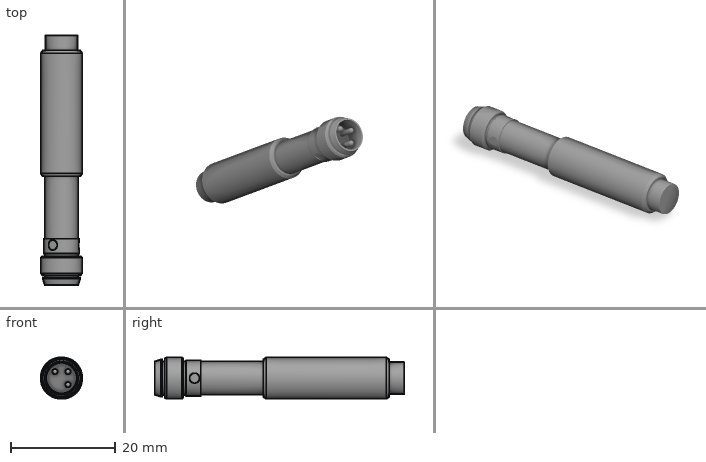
import cadquery as cq
import math

LENGTH = 47.9
MOUTH_Y = -LENGTH / 2

TIP_DIA = 6.4
COLLAR_DIA = 7.2
STEM_DIA = 6.5
NECK_DIA = 6.45
SLEEVE_DIA = 8.0
RING_DIA = SLEEVE_DIA
BAND_DIA = 6.9
CAP_DIA = 6.2

CONE_END = 1.2
COLLAR_END = 1.5
RING_START = 1.9
RING_END = 5.5
BAND_START = 6.0
BAND_END = 8.85
SLEEVE_START = 20.85
SLEEVE_END = 45.0

RING_CHAMFER = 0.3
RING_FRONT_CHAMFER_LENGTH = 0.4
BAND_CHAMFER = 0.1
SLEEVE_CHAMFER_LENGTH = 0.57
SLEEVE_CHAMFER_DIA = 7.2
CAP_CHAMFER_LENGTH = 0.2
CAP_CHAMFER_DEPTH = 0.05

SOCKET_DIA = 5.85
SOCKET_DEPTH = 4.3
PIN_DIA = 1.0
PIN_OFFSET = 1.25
PIN_SETBACK = 0.65
PIN_POSITIONS = [(-PIN_OFFSET, PIN_OFFSET), (PIN_OFFSET, PIN_OFFSET), (PIN_OFFSET, -PIN_OFFSET)]

WINDOW_DIA = 1.9
WINDOW_ANGLES = (0, 120, 240)
WINDOW_FROM_MOUTH = 7.65
WINDOW_Y = MOUTH_Y + WINDOW_FROM_MOUTH


def make_outer_shape():
    """Solid of revolution about Y through every outer step."""
    profile = [
        (0, 0),
        (TIP_DIA / 2, 0),
        (COLLAR_DIA / 2, CONE_END),
        (COLLAR_DIA / 2, COLLAR_END),
        (STEM_DIA / 2, COLLAR_END),
        (STEM_DIA / 2, RING_START),
        (RING_DIA / 2 - RING_CHAMFER, RING_START),
        (RING_DIA / 2, RING_START + RING_FRONT_CHAMFER_LENGTH),
        (RING_DIA / 2, RING_END - RING_CHAMFER),
        (RING_DIA / 2 - RING_CHAMFER, RING_END),
        (STEM_DIA / 2, RING_END),
        (STEM_DIA / 2, BAND_START),
        (BAND_DIA / 2 - BAND_CHAMFER, BAND_START),
        (BAND_DIA / 2, BAND_START + BAND_CHAMFER),
        (BAND_DIA / 2, BAND_END),
        (NECK_DIA / 2, BAND_END),
        (NECK_DIA / 2, SLEEVE_START),
        (SLEEVE_CHAMFER_DIA / 2, SLEEVE_START),
        (SLEEVE_DIA / 2, SLEEVE_START + SLEEVE_CHAMFER_LENGTH),
        (SLEEVE_DIA / 2, SLEEVE_END - SLEEVE_CHAMFER_LENGTH),
        (SLEEVE_CHAMFER_DIA / 2, SLEEVE_END),
        (CAP_DIA / 2, SLEEVE_END),
        (CAP_DIA / 2, LENGTH - CAP_CHAMFER_LENGTH),
        (CAP_DIA / 2 - CAP_CHAMFER_DEPTH, LENGTH),
        (0, LENGTH),
    ]
    shape = cq.Workplane("XY").polyline(profile).close().revolve(360, (0, 0), (0, 1))
    return shape.translate((0, MOUTH_Y, 0))


def make_socket():
    """Round connector cavity, open at the mouth."""
    mouth = cq.Workplane("XZ", origin=(0, MOUTH_Y, 0))
    return mouth.circle(SOCKET_DIA / 2).extrude(-SOCKET_DEPTH)


def make_window_cutter(angle):
    """Radial cutter whose flat floor just meets the band surface at the window's sides."""
    floor_radius = math.sqrt((BAND_DIA / 2) ** 2 - (WINDOW_DIA / 2) ** 2)
    floor = cq.Workplane("YZ", origin=(floor_radius, WINDOW_Y, 0))
    cutter = floor.circle(WINDOW_DIA / 2).extrude(BAND_DIA / 2)
    return cutter.rotate((0, 0, 0), (0, 1, 0), angle)


def make_housing():
    housing = make_outer_shape().cut(make_socket())
    for angle in WINDOW_ANGLES:
        housing = housing.cut(make_window_cutter(angle))
    return housing


def make_pin(x, z):
    """Contact pin standing on the socket floor, with a hemispherical tip."""
    radius = PIN_DIA / 2
    length = SOCKET_DEPTH - PIN_SETBACK
    pin = (
        cq.Workplane("XY")
        .lineTo(radius, 0)
        .lineTo(radius, radius - length)
        .radiusArc((0, -length), radius)
        .close()
        .revolve(360, (0, 0), (0, 1))
    )
    return pin.translate((x, MOUTH_Y + SOCKET_DEPTH, z))


housing = make_housing()
pins = [make_pin(x, z) for x, z in PIN_POSITIONS]

result = cq.Compound.makeCompound([housing.val(), *[pin.val() for pin in pins]])